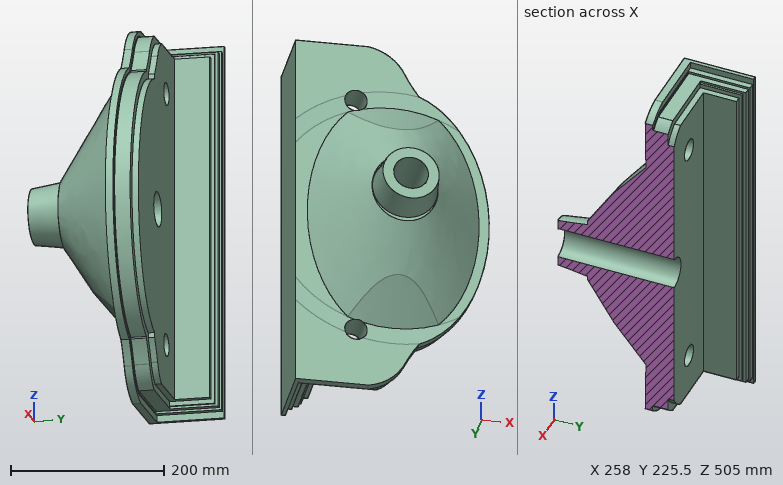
import cadquery as cq
import math

HEIGHT = 505.0
LEFT = 130.0
RIM_X = 128.0
RIM_Z = 191.5

CORNER_X = -33.0
CORNER_MID = (-0.5, 237.0)
CORNER_END = (15.5, 215.0)
NECK_MID = (22.5, 202.0)
NECK_X = 34.5

BOWL_X = 114.0
BOWL_Z = 180.0
BOWL_DEPTH = 82.5
BOWL_END_X = 44.0
BOWL_END_Z = 48.5
TRIM_RADIUS = 164.0
TRIM_END_RADIUS = 61.5

DISH_DEPTH = 1.0
DISH_RADIUS = 187.5

SPOUT_RADIUS = 43.5
SPOUT_END_RADIUS = 37.5
SPOUT_LENGTH = 42.0
BORE_DIAMETER = 46.0
MOUNT_DIAMETER = 30.0
MOUNT_X = -49.5
MOUNT_Z = 170.5

LAYERS = [
    (5.5, 11.0, 101.0, 0.0, 0.0),
    (13.5, 12.0, 99.5, 5.5, 9.0),
    (21.5, 33.0, 97.0, 6.0, 12.0),
    (24.5, 33.0, 93.0, 9.5, 15.0),
    (33.0, 41.5, 88.5, 16.5, 21.0),
]


def front_plane(y):
    """Sketch plane facing -Y at the given depth, with local axes X and Z."""
    return cq.Workplane("XZ", origin=(0, y, 0))


def plate(thickness, inset, drop):
    """Plate behind Y = 0 whose outline is drawn in by the inset, with its ends cut short by the drop."""
    neck_z = RIM_Z * math.sqrt(1 - (NECK_X / RIM_X) ** 2)
    top = HEIGHT / 2

    def mirrored(point):
        return (point[0], -point[1])

    neck = (NECK_X, neck_z)
    corner = (CORNER_X, top)
    body = (
        front_plane(0)
        .moveTo(-LEFT, -top)
        .lineTo(CORNER_X, -top)
        .threePointArc(mirrored(CORNER_MID), mirrored(CORNER_END))
        .threePointArc(mirrored(NECK_MID), mirrored(neck))
        .lineTo(*neck)
        .threePointArc(NECK_MID, CORNER_END)
        .threePointArc(CORNER_MID, corner)
        .lineTo(-LEFT, top)
        .close()
    )
    if inset > 0:
        body = body.offset2D(-inset)
    rim = front_plane(0).ellipse(RIM_X - inset, RIM_Z - inset).extrude(-thickness)
    limits = (
        cq.Workplane("XY")
        .box(HEIGHT, HEIGHT, HEIGHT - 2 * drop)
        .translate((HEIGHT / 2 - LEFT + inset, 0, 0))
    )
    return body.extrude(-thickness).union(rim).intersect(limits)


def side_wall(inner, rear, drop):
    """Wall along the left side, running from the plate front to its rear edge."""
    return (
        cq.Workplane("XY")
        .box(inner, rear, HEIGHT - 2 * drop, centered=(False, False, True))
        .translate((-LEFT, 0, 0))
    )


def bowl():
    """Elliptical funnel with its two ends trimmed by a round cone."""
    funnel = (
        front_plane(DISH_DEPTH)
        .ellipse(BOWL_X, BOWL_Z)
        .workplane(offset=BOWL_DEPTH + DISH_DEPTH)
        .ellipse(BOWL_END_X, BOWL_END_Z)
        .loft()
    )
    trim = (
        front_plane(DISH_DEPTH)
        .circle(TRIM_RADIUS)
        .workplane(offset=BOWL_DEPTH + DISH_DEPTH)
        .circle(TRIM_END_RADIUS)
        .loft()
    )
    return funnel.intersect(trim)


def dish():
    """Shallow recess with a conical border, cut into the plate front."""
    return (
        front_plane(0)
        .circle(DISH_RADIUS)
        .workplane(offset=-DISH_DEPTH)
        .circle(TRIM_RADIUS)
        .loft()
    )


def spout():
    """Tapered drain spout."""
    return (
        front_plane(-BOWL_DEPTH)
        .circle(SPOUT_RADIUS)
        .workplane(offset=SPOUT_LENGTH)
        .circle(SPOUT_END_RADIUS)
        .loft()
    )


result = cq.Workplane("XY")
for wall_inner, plate_back, wall_rear, outline_inset, end_drop in LAYERS:
    result = result.add(plate(plate_back, outline_inset, end_drop))
    result = result.add(side_wall(wall_inner, wall_rear, end_drop))
result = result.combine()

result = result.cut(dish()).union(bowl()).union(spout())

bore = front_plane(0).circle(BORE_DIAMETER / 2).extrude(HEIGHT, both=True)
mounts = (
    front_plane(0)
    .pushPoints([(MOUNT_X, MOUNT_Z), (MOUNT_X, -MOUNT_Z)])
    .circle(MOUNT_DIAMETER / 2)
    .extrude(HEIGHT, both=True)
)
result = result.cut(bore).cut(mounts)